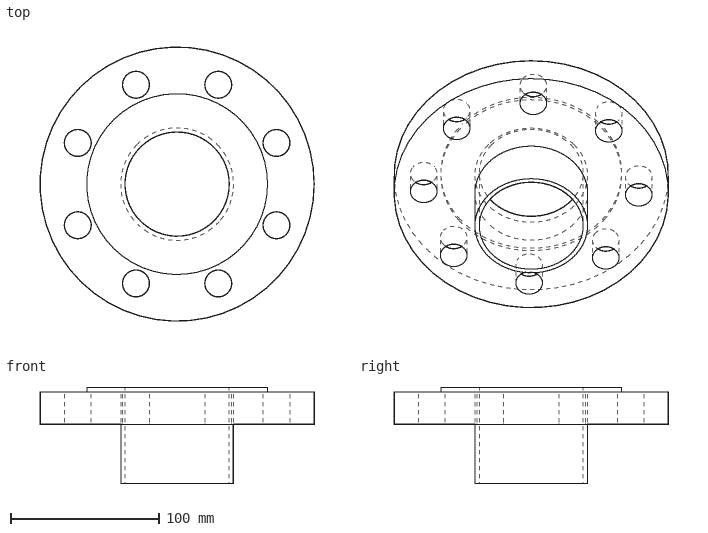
import cadquery as cq

flange_diameter = 185.0
flange_thickness = 22.0
bolt_circle_diameter = 145.0
bolt_hole_diameter = 18.0
bolt_count = 8
bolt_pitch_angle = 360.0 / bolt_count

pipe_outer_diameter = 76.0
pipe_bore_diameter = 70.1
collar_diameter = 122.0
collar_thickness = 3.0
total_height = 65.0

collar_bottom = total_height - collar_thickness
flange_bottom = collar_bottom - flange_thickness


def make_flange():
    """Flat ring that fits around the pipe, with bolt holes straddling the axes."""
    ring = (
        cq.Workplane("XY")
        .workplane(offset=flange_bottom)
        .circle(flange_diameter / 2)
        .circle(pipe_outer_diameter / 2)
        .extrude(flange_thickness)
    )
    bolt_holes = (
        cq.Workplane("XY")
        .workplane(offset=flange_bottom)
        .polarArray(bolt_circle_diameter / 2, bolt_pitch_angle / 2, 360, bolt_count)
        .circle(bolt_hole_diameter / 2)
        .extrude(flange_thickness)
    )
    return ring.cut(bolt_holes)


def make_stub_end():
    """Pipe and collar in one piece, bored through from end to end."""
    pipe = cq.Workplane("XY").circle(pipe_outer_diameter / 2).extrude(total_height)
    collar = (
        cq.Workplane("XY")
        .workplane(offset=collar_bottom)
        .circle(collar_diameter / 2)
        .extrude(collar_thickness)
    )
    bore = cq.Workplane("XY").circle(pipe_bore_diameter / 2).extrude(total_height)
    return pipe.union(collar).cut(bore)


flange = make_flange()
stub_end = make_stub_end()

result = cq.Compound.makeCompound([flange.solids().val(), stub_end.solids().val()])